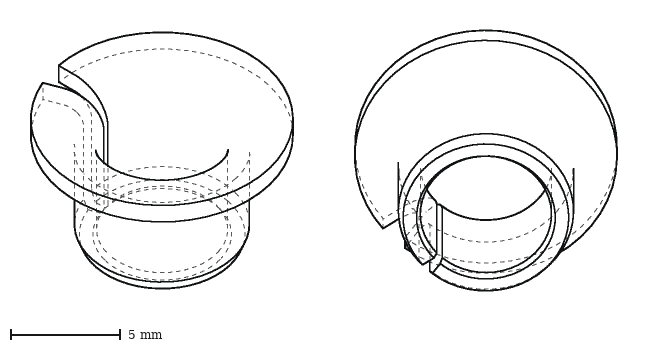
import cadquery as cq
import math

flange_diameter = 11.97
height = 7.0
wall = 1.0
bore_radius = 2.99
mouth_radius = 2.0
neck_radius = mouth_radius - wall
tip_height = 0.6
tip_angle = 20.0
bore_chamfer_height = 0.3
bore_chamfer_angle = 30.0
slot_half_angle = 10.0
slot_apex_offset = 2.0

flange_radius = flange_diameter / 2
sleeve_radius = bore_radius + wall
taper = math.tan(math.radians(tip_angle))
tip_radius = sleeve_radius - tip_height * taper
bore_end_radius = bore_radius + bore_chamfer_height * math.tan(math.radians(bore_chamfer_angle))


def flanged_sleeve():
    """Revolve the wall section, with z = 0 at the sleeve's lower end."""
    arc_center_r = bore_radius + mouth_radius
    arc_center_z = height - mouth_radius
    cos45 = math.cos(math.radians(45))

    def arc_middle(radius):
        return arc_center_r - radius * cos45, arc_center_z + radius * cos45

    section = (
        cq.Workplane("XZ")
        .moveTo(bore_end_radius, 0)
        .lineTo(tip_radius, 0)
        .lineTo(sleeve_radius, tip_height)
        .lineTo(sleeve_radius, arc_center_z)
        .threePointArc(arc_middle(neck_radius), (arc_center_r, height - wall))
        .lineTo(flange_radius, height - wall)
        .lineTo(flange_radius, height)
        .lineTo(arc_center_r, height)
        .threePointArc(arc_middle(mouth_radius), (bore_radius, arc_center_z))
        .lineTo(bore_radius, bore_chamfer_height)
        .close()
    )
    sleeve = section.revolve(360, (0, 0, 0), (0, 1, 0))
    return sleeve.rotate((0, 0, 0), (0, 0, 1), 180)


def wedge_slot():
    """Wedge that splits the wall on the -X side and opens outward."""
    outer_x = -flange_diameter
    half_width = (-outer_x - slot_apex_offset) * math.tan(math.radians(slot_half_angle))
    return (
        cq.Workplane("XY")
        .polyline([(-slot_apex_offset, 0), (outer_x, half_width), (outer_x, -half_width)])
        .close()
        .extrude(height)
    )


result = flanged_sleeve().cut(wedge_slot())